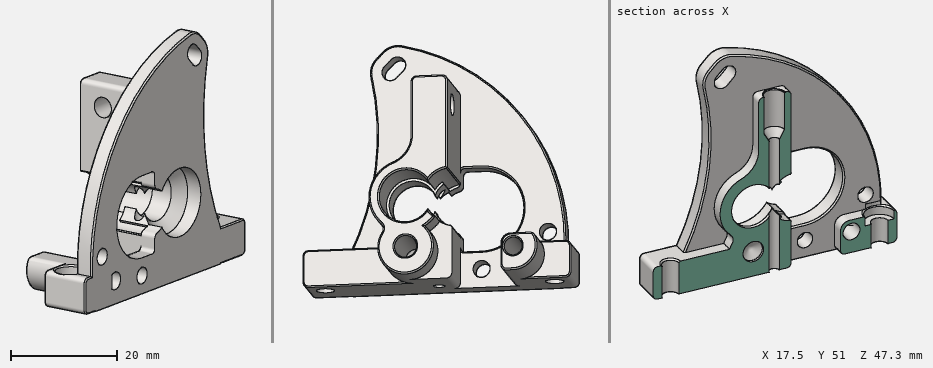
import cadquery as cq
import math


WIDTH = 17.5
LENGTH = 51.0
HEIGHT = 47.25
PLATE_FRONT = 13.95
BAR_FRONT = 8.0
LOWER_BLOCK_FRONT = 5.0
BAR_HEIGHT = 7.1
CORNER_RADIUS = 1.0
EDGE_CHAMFER = 0.3
PLATE_CHAMFER = 0.3
BAR_CHAMFER = 0.25
HOLE_CHAMFER = 0.25
SCREW_X = 11.55
DRILL_TIP_ANGLE = 118.0
BLOCK_BACK = PLATE_FRONT + PLATE_CHAMFER
PICK_MARGIN = 0.5

OUTER_ARC_CENTER = (41.6, 8.4)
INNER_ARC_CENTER = (89.8, 30.1)
TIP_RADIUS = 3.9
SLOT_LOW = (35.4, 42.1)
SLOT_HIGH = (34.1, HEIGHT - TIP_RADIUS)
OUTER_ARC_RADIUS = math.dist(OUTER_ARC_CENTER, SLOT_HIGH) + TIP_RADIUS
INNER_ARC_RADIUS = math.dist(INNER_ARC_CENTER, SLOT_LOW) - TIP_RADIUS
PLATE_HOLE_DIAMETER = 3.2
PLATE_HOLES = [(5.4, 10.2), (18.05, 3.55)]

AXIS_Z = 15.05
TUBE_Y = 30.05
CUSP_Y = 25.8
NOTCH_Y = 2 * CUSP_Y - TUBE_Y
TUBE_RADIUS = 7.0
FRONT_BORE_RADIUS = 5.0
REAR_BORE_RADIUS = 4.5
BORE_STEP_X = 7.85
PLATE_BORE_RADIUS = 6.7
FLARE_START = 12.25
FLARE_END = FLARE_START + PLATE_BORE_RADIUS - REAR_BORE_RADIUS
MOUTH_CHAMFER = 0.3
NOTCH_CHAMFER = 0.2

OPENING_Y = 18.05
OPENING_RADIUS = 8.0
OPENING_CORNER = 0.8
NOTCH_END_ROUND = 1.0

BLOCK_Y = 22.1
BLOCK_END_Y = 28.95
BLOCK_TOP = 38.0
WEB_RADIUS = 5.5
CROSS_HOLE_DIAMETER = 4.0
CROSS_HOLE_X = 5.45
CROSS_HOLE_Z = 33.35
CLAMP_Y = 25.65
CLAMP_DIAMETER = 2.1
CLAMP_HEAD_DIAMETER = 4.2
CLAMP_HEAD_DEPTH = 8.0
CLAMP_SEAT_ANGLE = 60.0
CLAMP_CHAMFER = 0.15

LOWER_BOSS_RADIUS = 5.3
NECK_FILLET = 1.35
LOWER_BOSS_HOLE_DIAMETER = 4.2
LOWER_BOSS_HOLE_DEPTH = 12.0

END_BOSS_Y = 9.55
END_BOSS_RADIUS = 4.55
END_BOSS_SIDE = 11.9
END_BOSS_ROUND = 1.9
END_BOSS_HOLE_DIAMETER = 3.4
WEDGE_Y = 8.55

BAR_HOLE_DIAMETER = 3.4
BAR_HOLE_NEAR_Y = 3.65
BAR_HOLE_FAR_Y = LENGTH - BAR_HOLE_NEAR_Y
BAR_HOLE_CHAMFER = 0.3
COUNTERBORE_DIAMETER = 6.0
COUNTERBORE_FLOOR = 5.1
COUNTERBORE_TOP = 8.15


def sheet(x):
    """Sketch plane across X whose local axes are Y and Z."""
    return cq.Workplane("YZ", origin=(x, 0, 0))


def rod(y, z, radius, x_from, x_to):
    """Cylinder along X."""
    return sheet(x_from).center(y, z).circle(radius).extrude(x_to - x_from)


def cone_x(y, z, radius_from, radius_to, x_from, x_to):
    """Frustum along X."""
    axis = cq.Vector(1, 0, 0)
    base = cq.Vector(x_from, y, z)
    return cq.Workplane(cq.Solid.makeCone(radius_from, radius_to, x_to - x_from, base, axis))


def post(y, radius, z_from, z_to):
    """Cylinder along Z on the common screw line."""
    return cq.Workplane("XY", origin=(SCREW_X, y, z_from)).circle(radius).extrude(z_to - z_from)


def cone_z(y, radius_from, radius_to, z_from, z_to):
    """Frustum along Z on the common screw line."""
    base = cq.Vector(SCREW_X, y, z_from)
    axis = cq.Vector(0, 0, 1)
    return cq.Workplane(cq.Solid.makeCone(radius_from, radius_to, z_to - z_from, base, axis))


def box(x_from, x_to, y_from, y_to, z_from, z_to):
    """Block between the given limits."""
    size = (x_to - x_from, y_to - y_from, z_to - z_from)
    return cq.Workplane().box(*size, centered=False).translate((x_from, y_from, z_from))


def polar(center, radius, angle):
    """Point at an angle on a circle."""
    return (center[0] + radius * math.cos(angle), center[1] + radius * math.sin(angle))


def angle_to(start, end):
    """Direction from one point to another."""
    return math.atan2(end[1] - start[1], end[0] - start[0])


def notch_half_height(radius):
    """Half height of a notch of this radius where it leaves the blocks."""
    return math.sqrt(radius**2 - (BLOCK_Y - NOTCH_Y) ** 2)


def tip_length(radius, full_angle):
    """Length of a cone of this radius and full angle."""
    return radius / math.tan(math.radians(full_angle / 2))


def make_plate():
    """Sail-shaped plate, chamfered all round except along the foot."""
    outer_foot_angle = math.pi + math.asin(OUTER_ARC_CENTER[1] / OUTER_ARC_RADIUS)
    outer_end_angle = angle_to(OUTER_ARC_CENTER, SLOT_HIGH)
    outer_mid_angle = (outer_foot_angle + outer_end_angle) / 2
    inner_tip_angle = angle_to(INNER_ARC_CENTER, SLOT_LOW)
    inner_foot_angle = math.pi + math.asin((INNER_ARC_CENTER[1] - BAR_HEIGHT) / INNER_ARC_RADIUS)
    inner_mid_angle = (inner_tip_angle + inner_foot_angle) / 2
    inner_foot = polar(INNER_ARC_CENTER, INNER_ARC_RADIUS, inner_foot_angle)
    flat_angle = angle_to(SLOT_LOW, SLOT_HIGH) - math.pi / 2
    low_end_angle = inner_tip_angle - math.pi

    plate = (
        sheet(PLATE_FRONT)
        .moveTo(*polar(OUTER_ARC_CENTER, OUTER_ARC_RADIUS, outer_foot_angle))
        .threePointArc(
            polar(OUTER_ARC_CENTER, OUTER_ARC_RADIUS, outer_mid_angle),
            polar(OUTER_ARC_CENTER, OUTER_ARC_RADIUS, outer_end_angle),
        )
        .threePointArc(
            polar(SLOT_HIGH, TIP_RADIUS, (outer_end_angle + flat_angle) / 2),
            polar(SLOT_HIGH, TIP_RADIUS, flat_angle),
        )
        .lineTo(*polar(SLOT_LOW, TIP_RADIUS, flat_angle))
        .threePointArc(
            polar(SLOT_LOW, TIP_RADIUS, (flat_angle + low_end_angle) / 2),
            polar(SLOT_LOW, TIP_RADIUS, low_end_angle),
        )
        .threePointArc(polar(INNER_ARC_CENTER, INNER_ARC_RADIUS, inner_mid_angle), inner_foot)
        .lineTo(inner_foot[0], 0)
        .close()
        .extrude(WIDTH - PLATE_FRONT)
    )
    above_foot = cq.selectors.BoxSelector((0, 0, PICK_MARGIN), (WIDTH + PICK_MARGIN, LENGTH, HEIGHT))
    return plate.faces("<X or >X").edges(above_foot).chamfer(PLATE_CHAMFER)


def make_bars():
    """Rear bar and end block that form the foot, with rounded outer ends."""
    rear = box(BAR_FRONT, WIDTH, TUBE_Y, LENGTH, 0, BAR_HEIGHT)
    rear = rear.faces(">Y").edges("|X").fillet(CORNER_RADIUS)
    near = box(BAR_FRONT, WIDTH, 0, END_BOSS_Y, 0, BAR_HEIGHT)
    near = near.faces("<Y").edges("|X").fillet(CORNER_RADIUS)
    rear = rear.faces("<X or >X").edges().chamfer(BAR_CHAMFER)
    near = near.faces("<X or >X").edges().chamfer(BAR_CHAMFER)
    return rear.union(near)


def make_hub():
    """Tube, clamp block and lower boss in one outline, chamfered round the front face."""
    tube = (TUBE_Y, AXIS_Z)
    web_y = BLOCK_END_Y + WEB_RADIUS
    web_z = AXIS_Z + math.sqrt((TUBE_RADIUS + WEB_RADIUS) ** 2 - (web_y - TUBE_Y) ** 2)
    web = (web_y, web_z)
    web_angle = angle_to(web, tube)
    web_mid_angle = (web_angle - math.pi) / 2
    spacing = AXIS_Z - LOWER_BOSS_RADIUS
    neck_drop = (TUBE_RADIUS**2 - LOWER_BOSS_RADIUS**2 + spacing**2) / (2 * spacing)
    neck_half = math.sqrt(TUBE_RADIUS**2 - neck_drop**2)
    neck_z = AXIS_Z - neck_drop
    neck_near = (TUBE_Y - neck_half, neck_z)
    neck_far = (TUBE_Y + neck_half, neck_z)

    tube_far_mid = (angle_to(tube, web) + angle_to(tube, neck_far)) / 2
    tube_near = (TUBE_Y - TUBE_RADIUS, AXIS_Z)
    tube_near_mid = (angle_to(tube, neck_near) - math.pi) / 2

    hub = (
        sheet(0)
        .moveTo(BLOCK_Y, AXIS_Z)
        .lineTo(BLOCK_Y, BLOCK_TOP)
        .lineTo(BLOCK_END_Y, BLOCK_TOP)
        .lineTo(BLOCK_END_Y, web_z)
        .threePointArc(polar(web, WEB_RADIUS, web_mid_angle), polar(web, WEB_RADIUS, web_angle))
        .threePointArc(polar(tube, TUBE_RADIUS, tube_far_mid), neck_far)
        .threePointArc((TUBE_Y, 0), neck_near)
        .threePointArc(polar(tube, TUBE_RADIUS, tube_near_mid), tube_near)
        .close()
        .extrude(BLOCK_BACK)
    )
    hub = hub.faces(">Z").edges("|X").fillet(CORNER_RADIUS)
    neck_edge = cq.selectors.NearestToPointSelector((BLOCK_BACK / 2, *neck_far))
    hub = hub.edges("|X").edges(neck_edge).fillet(NECK_FILLET)
    return hub.faces("<X").edges().chamfer(EDGE_CHAMFER)


def make_lower_block():
    """Block beside the lower boss, reaching up to the notch."""
    block = box(LOWER_BLOCK_FRONT, BLOCK_BACK, BLOCK_Y, TUBE_Y, 0, AXIS_Z)
    return block.edges("|X and <Y and <Z").fillet(CORNER_RADIUS)


def make_end_boss():
    """Half-round boss, flat on its inner side and on top."""
    side = box(0, PLATE_FRONT, END_BOSS_Y - END_BOSS_RADIUS, END_BOSS_SIDE, 0, BAR_HEIGHT)
    side = side.edges("|X and >Y and >Z").fillet(END_BOSS_ROUND)
    side = side.edges("|X and >Y and <Z").fillet(CORNER_RADIUS)
    near_half = rod(END_BOSS_Y, END_BOSS_RADIUS, END_BOSS_RADIUS, 0, PLATE_FRONT)
    far_half = box(0, PLATE_FRONT, END_BOSS_Y, END_BOSS_SIDE, 0, BAR_HEIGHT)
    near_half = near_half.cut(box(0, PLATE_FRONT, END_BOSS_Y, LENGTH, 0, HEIGHT))
    boss = near_half.union(far_half).intersect(side)
    boss = boss.faces(">Z").edges("|X and <Y").fillet(CORNER_RADIUS)
    return boss.faces("<X").edges().chamfer(EDGE_CHAMFER)


def make_opening():
    """Cutter for the plate: a round opening run out square to the block, joined to the notch."""
    opening = rod(OPENING_Y, AXIS_Z, OPENING_RADIUS, PLATE_FRONT, WIDTH)
    opening = opening.cut(box(PLATE_FRONT, WIDTH, OPENING_Y, LENGTH, 0, HEIGHT))
    low = AXIS_Z - OPENING_RADIUS
    run_out = box(PLATE_FRONT, WIDTH, OPENING_Y, BLOCK_Y, low, low + 2 * OPENING_RADIUS)
    run_out = run_out.edges("|X and >Y").fillet(OPENING_CORNER)
    notch = rod(NOTCH_Y, AXIS_Z, REAR_BORE_RADIUS, PLATE_FRONT, WIDTH)
    opening = opening.union(run_out).union(notch)
    end_half = notch_half_height(REAR_BORE_RADIUS)
    for z in (AXIS_Z - end_half, AXIS_Z + end_half):
        end = cq.selectors.NearestToPointSelector(((PLATE_FRONT + WIDTH) / 2, BLOCK_Y, z))
        opening = opening.edges("|X").edges(end).fillet(NOTCH_END_ROUND)
    return opening


def cut_opening(plate):
    """Cut the opening and chamfer its rim, on round the tangent corners."""
    plate = plate.cut(make_opening())
    reach = OPENING_RADIUS + PICK_MARGIN
    inner_end = BLOCK_Y - OPENING_CORNER / 2
    beside_block = cq.selectors.BoxSelector(
        (PLATE_FRONT - PICK_MARGIN, OPENING_Y - reach, AXIS_Z - reach),
        (PLATE_FRONT + PICK_MARGIN, inner_end, AXIS_Z + reach),
    )
    return plate.faces("<X").edges(beside_block).chamfer(PLATE_CHAMFER)


def make_tube_bore():
    """Cutter for the stepped bore, its flare into the plate and the mirrored notch."""
    cutter = rod(TUBE_Y, AXIS_Z, REAR_BORE_RADIUS, 0, WIDTH)
    cutter = cutter.union(rod(TUBE_Y, AXIS_Z, PLATE_BORE_RADIUS, FLARE_END, WIDTH))
    flare = cone_x(TUBE_Y, AXIS_Z, REAR_BORE_RADIUS, PLATE_BORE_RADIUS, FLARE_START, FLARE_END)
    cutter = cutter.union(flare)
    cutter = cutter.union(rod(NOTCH_Y, AXIS_Z, REAR_BORE_RADIUS, 0, WIDTH))
    for y in (TUBE_Y, NOTCH_Y):
        mouth_radius = FRONT_BORE_RADIUS + MOUTH_CHAMFER
        cutter = cutter.union(rod(y, AXIS_Z, FRONT_BORE_RADIUS, 0, BORE_STEP_X))
        cutter = cutter.union(cone_x(y, AXIS_Z, mouth_radius, FRONT_BORE_RADIUS, 0, MOUTH_CHAMFER))
    wide_notch = rod(NOTCH_Y, AXIS_Z, FRONT_BORE_RADIUS, BORE_STEP_X, BLOCK_BACK)
    pad = rod(TUBE_Y, AXIS_Z, TUBE_RADIUS, BORE_STEP_X, BLOCK_BACK)
    cutter = cutter.union(wide_notch.cut(pad))
    half = notch_half_height(FRONT_BORE_RADIUS)
    inner_y = BLOCK_Y + NOTCH_CHAMFER
    outer_half = half + NOTCH_CHAMFER
    mouth = [
        (BLOCK_Y, AXIS_Z + outer_half),
        (inner_y, AXIS_Z + half),
        (inner_y, AXIS_Z - half),
        (BLOCK_Y, AXIS_Z - outer_half),
    ]
    return cutter.union(sheet(0).polyline(mouth).close().extrude(BLOCK_BACK))


def cut_lower_boss_hole(body):
    """Blind hole along X with a chamfered mouth and a drill tip."""
    center = (TUBE_Y, LOWER_BOSS_RADIUS)
    radius = LOWER_BOSS_HOLE_DIAMETER / 2
    depth = LOWER_BOSS_HOLE_DEPTH
    tip_end = depth + tip_length(radius, DRILL_TIP_ANGLE)
    body = body.cut(rod(*center, radius, 0, depth))
    body = body.cut(cone_x(*center, radius + HOLE_CHAMFER, radius, 0, HOLE_CHAMFER))
    return body.cut(cone_x(*center, radius, 0, depth, tip_end))


def cut_end_boss_hole(body):
    """Through hole whose near side is blocked by a wedge within the plate."""
    radius = END_BOSS_HOLE_DIAMETER / 2
    near_y = END_BOSS_Y - radius
    wedge = (
        cq.Workplane("XY")
        .polyline([(PLATE_FRONT, near_y), (WIDTH, near_y), (WIDTH, WEDGE_Y)])
        .close()
        .extrude(BAR_HEIGHT)
    )
    hole = rod(END_BOSS_Y, END_BOSS_RADIUS, radius, 0, WIDTH).cut(wedge)
    mouth = cone_x(END_BOSS_Y, END_BOSS_RADIUS, radius + HOLE_CHAMFER, radius, 0, HOLE_CHAMFER)
    return body.cut(hole).cut(mouth)


def cut_plate_holes(body):
    """Two round holes and the slanted tip slot."""
    radius = PLATE_HOLE_DIAMETER / 2
    for y, z in PLATE_HOLES:
        body = body.cut(rod(y, z, radius, PLATE_FRONT, WIDTH))
    middle = ((SLOT_LOW[0] + SLOT_HIGH[0]) / 2, (SLOT_LOW[1] + SLOT_HIGH[1]) / 2)
    length = math.dist(SLOT_LOW, SLOT_HIGH) + PLATE_HOLE_DIAMETER
    slant = math.degrees(angle_to(SLOT_LOW, SLOT_HIGH))
    slot = sheet(PLATE_FRONT).center(*middle).slot2D(length, PLATE_HOLE_DIAMETER, slant)
    return body.cut(slot.extrude(WIDTH - PLATE_FRONT))


def cut_bar_holes(body):
    """Counterbored screw hole in the end block and chamfered one in the rear bar."""
    radius = BAR_HOLE_DIAMETER / 2
    head_radius = COUNTERBORE_DIAMETER / 2
    chamfer_start = BAR_HEIGHT - BAR_HOLE_CHAMFER
    for y in (BAR_HOLE_NEAR_Y, BAR_HOLE_FAR_Y):
        body = body.cut(post(y, radius, 0, BAR_HEIGHT))
    body = body.cut(post(BAR_HOLE_NEAR_Y, head_radius, COUNTERBORE_FLOOR, COUNTERBORE_TOP))
    for y, mouth in ((BAR_HOLE_NEAR_Y, head_radius), (BAR_HOLE_FAR_Y, radius)):
        body = body.cut(cone_z(y, mouth, mouth + BAR_HOLE_CHAMFER, chamfer_start, BAR_HEIGHT))
    return body


def cut_clamp_holes(body):
    """Clamp screw hole along Z with its cone-seated head recess, and the cross hole along Y."""
    head_radius = CLAMP_HEAD_DIAMETER / 2
    head_floor = BLOCK_TOP - CLAMP_HEAD_DEPTH
    tip = head_floor - tip_length(head_radius, CLAMP_SEAT_ANGLE)
    body = body.cut(post(CLAMP_Y, CLAMP_DIAMETER / 2, 0, BLOCK_TOP))
    body = body.cut(post(CLAMP_Y, head_radius, head_floor, BLOCK_TOP))
    body = body.cut(cone_z(CLAMP_Y, 0, head_radius, tip, head_floor))
    chamfer_start = BLOCK_TOP - CLAMP_CHAMFER
    mouth_radius = head_radius + CLAMP_CHAMFER
    body = body.cut(cone_z(CLAMP_Y, head_radius, mouth_radius, chamfer_start, BLOCK_TOP))
    cross = cq.Workplane("XZ", origin=(CROSS_HOLE_X, 0, CROSS_HOLE_Z)).circle(CROSS_HOLE_DIAMETER / 2)
    return body.cut(cross.extrude(-LENGTH))


result = cut_opening(make_plate())
for solid in (make_hub(), make_lower_block(), make_bars(), make_end_boss()):
    result = result.union(solid)
result = result.cut(make_tube_bore())
result = cut_lower_boss_hole(result)
result = cut_end_boss_hole(result)
result = cut_plate_holes(result)
result = cut_bar_holes(result)
result = cut_clamp_holes(result)